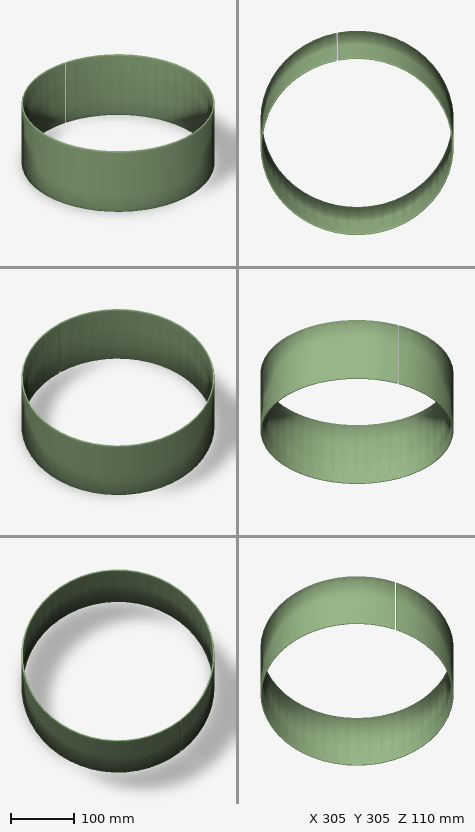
import cadquery as cq

outer_diameter = 305.0
height = 110.0
wall = 2.7
bevel_height = 1.8
bevel_depth = 0.5
slit_width = 2.5

outer_radius = outer_diameter / 2
inner_radius = outer_radius - wall
outer_rim_radius = outer_radius - bevel_depth
inner_rim_radius = inner_radius + bevel_depth
half_height = height / 2
bevel_start = half_height - bevel_height


def bevelled_ring():
    """Thin ring, centred on the origin, with a steep bevel inside and outside at each end."""
    wall_section = (
        cq.Workplane("XZ")
        .moveTo(inner_rim_radius, -half_height)
        .lineTo(outer_rim_radius, -half_height)
        .lineTo(outer_radius, -bevel_start)
        .lineTo(outer_radius, bevel_start)
        .lineTo(outer_rim_radius, half_height)
        .lineTo(inner_rim_radius, half_height)
        .lineTo(inner_radius, bevel_start)
        .lineTo(inner_radius, -bevel_start)
        .close()
    )
    return wall_section.revolve(360, (0, 0, 0), (0, 1, 0)).rotate((0, 0, 0), (0, 0, 1), 180)


def slit():
    """Full-height cutter opening the ring at -X, with one side on the XZ plane."""
    cutter = cq.Workplane("XY").box(outer_radius, slit_width, height)
    return cutter.translate((-outer_radius, slit_width / 2, 0))


result = bevelled_ring().cut(slit())